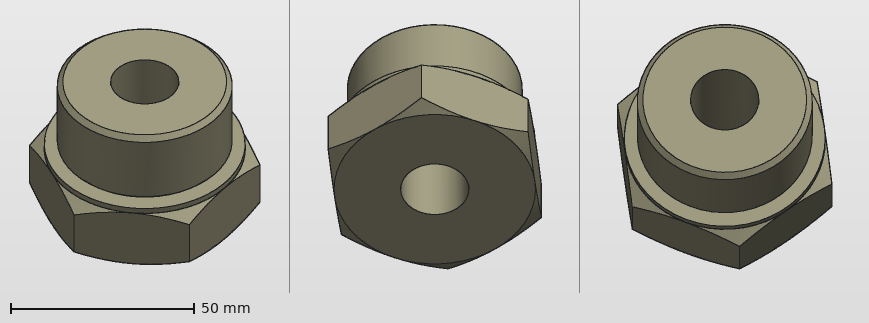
import cadquery as cq
import math

across_corners = 63.5
corner_half_angle = 180 / 6
across_flats = across_corners * math.cos(math.radians(corner_half_angle))
hex_height = 18.15
corner_chamfer_angle = 30.0

collar_diameter = 54.9
collar_top = 19.9

total_height = 42.0
body_diameter = 47.8
top_face_diameter = 44.7
top_chamfer_height = 1.4
undercut_diameter = 45.2
bore_diameter = 18.6


def make_hex_head():
    """Hexagon with corners on the Y axis, both ends turned to a cone."""
    prism = (
        cq.Workplane("XY")
        .polygon(6, across_corners)
        .extrude(hex_height)
        .rotate((0, 0, 0), (0, 0, 1), corner_half_angle)
    )
    flat_radius = across_flats / 2
    corner_radius = across_corners / 2
    corner_drop = (corner_radius - flat_radius) * math.tan(math.radians(corner_chamfer_angle))
    turned_blank = (
        cq.Workplane("XZ")
        .moveTo(0, 0)
        .lineTo(flat_radius, 0)
        .lineTo(corner_radius, corner_drop)
        .lineTo(corner_radius, hex_height - corner_drop)
        .lineTo(flat_radius, hex_height)
        .lineTo(0, hex_height)
        .close()
        .revolve(360, (0, 0, 0), (0, 1, 0))
    )
    return prism.intersect(turned_blank)


def make_turned_plug():
    """Collar, undercut and chamfered body as one revolved profile."""
    body_radius = body_diameter / 2
    undercut_radius = undercut_diameter / 2
    undercut_height = body_radius - undercut_radius
    return (
        cq.Workplane("XZ")
        .moveTo(0, hex_height / 2)
        .lineTo(collar_diameter / 2, hex_height / 2)
        .lineTo(collar_diameter / 2, collar_top)
        .lineTo(undercut_radius, collar_top)
        .lineTo(body_radius, collar_top + undercut_height)
        .lineTo(body_radius, total_height - top_chamfer_height)
        .lineTo(top_face_diameter / 2, total_height)
        .lineTo(0, total_height)
        .close()
        .revolve(360, (0, 0, 0), (0, 1, 0))
    )


bore = cq.Workplane("XY").circle(bore_diameter / 2).extrude(total_height)
result = make_hex_head().union(make_turned_plug()).cut(bore)